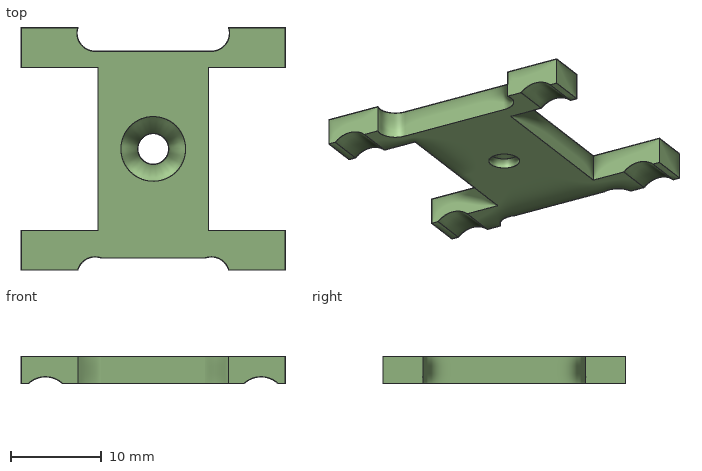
import cadquery as cq

length = 29.2
depth = 26.8
thickness = 3.0

web_width = 12.25
bar_depth = 4.4

relief_radius = 2.0
relief_spacing = 12.85
rear_notch_depth = 2.6
front_notch_depth = 1.35
front_relief_overcut = 0.12

groove_spacing = 23.83
groove_width = 3.75
groove_height = 0.73

hole_diameter = 3.4
countersink_diameter = 7.15
countersink_angle = 90.0


def h_plate():
    """Full plate with a rectangular opening on each long side of the web."""
    plate = cq.Workplane("XY").box(length, depth, thickness, centered=(True, True, False))
    opening_width = (length - web_width) / 2
    opening_depth = depth - 2 * bar_depth
    opening_x = (length + web_width) / 4
    openings = (
        cq.Workplane("XY")
        .pushPoints([(-opening_x, 0), (opening_x, 0)])
        .rect(opening_width, opening_depth)
        .extrude(thickness)
    )
    return plate.cut(openings)


def end_notch(side, notch_depth, relief_overcut):
    """Cutter for one end; side is +1 at the rear and -1 at the front."""
    edge_y = side * depth / 2
    relief_y = edge_y - side * (notch_depth + relief_overcut - relief_radius)
    slot = (
        cq.Workplane("XY")
        .center(0, edge_y)
        .rect(relief_spacing, 2 * notch_depth)
        .extrude(thickness)
    )
    reliefs = (
        cq.Workplane("XY")
        .pushPoints([(-relief_spacing / 2, relief_y), (relief_spacing / 2, relief_y)])
        .circle(relief_radius)
        .extrude(thickness)
    )
    return slot.union(reliefs)


def underside_grooves():
    """Cylinders along Y whose tops cut shallow arcs into the bottom face."""
    radius = (groove_width**2 / 4 + groove_height**2) / (2 * groove_height)
    axis_z = groove_height - radius
    return (
        cq.Workplane("XZ")
        .pushPoints([(-groove_spacing / 2, axis_z), (groove_spacing / 2, axis_z)])
        .circle(radius)
        .extrude(depth / 2, both=True)
    )


result = (
    h_plate()
    .cut(end_notch(1, rear_notch_depth, 0))
    .cut(end_notch(-1, front_notch_depth, front_relief_overcut))
    .cut(underside_grooves())
    .faces(">Z")
    .workplane(origin=(0, 0, thickness))
    .cskHole(hole_diameter, countersink_diameter, countersink_angle)
)